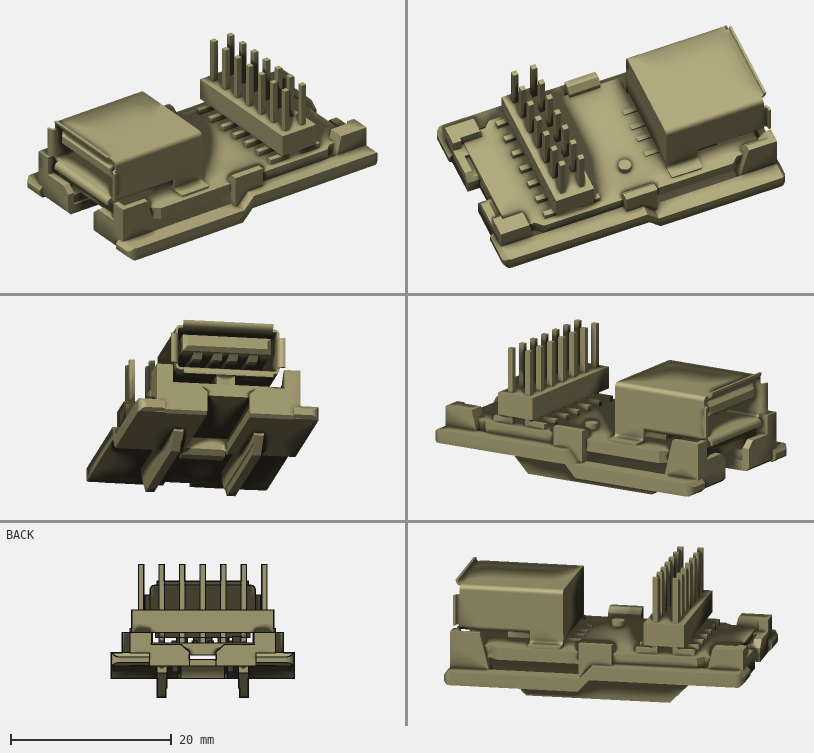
import cadquery as cq

LENGTH = 38.1
WIDTH = 22.8
HEIGHT = 16.55
HALF_L = LENGTH / 2
HALF_W = WIDTH / 2

FRONT_BOTTOM = 2.32
REAR_BOTTOM = 3.9
STEP_REAR_Y = -0.45
STEP_FRONT_Y = -1.95
STEP_TOP_SHIFT = 0.23
RAIL_THICK = 1.68
FLOOR_THICK = 0.85
RAIL_INNER_X = 9.05
BODY_Y = 18.6
CORNER_R = 1.0
TAB_INNER_FRONT_X = 8.15
TAB_INNER_REAR_X = 6.63
TAB_ROOT_Y = 18.5
TAB_TOP_BEVEL = 0.55
TAB_BOTTOM_BEVEL = 0.42
EDGE_CHAMFER = 0.42

FRONT_NOTCH_X = 2.7
FRONT_NOTCH_END_Y = -1.35
FRONT_NOTCH_R = 0.5
REAR_NOTCH_X = 1.68
WALL_SLOPE_RUN = 1.0
WALL_SLOPE_DROP = 0.88
FRONT_WALL_TOP = 6.15
FRONT_WALL_BACK_Y = -17.68
REAR_WALL_TOP = 6.55
REAR_LEDGE_TOP = 6.02
REAR_LEDGE_X = 5.15
REAR_LEDGE_Y = 17.6
SLOT_LEDGE_TOP = 3.6
SLOT_PAD_LIP_Z = 2.97
SLOT_PAD_REAR_Y = 1.15
RIM_INNER_X = 3.05
RIM_WIDTH = 0.75

FRONT_POST_TOP = 8.57
FRONT_POST_INNER_X = 7.05
FRONT_POST_TOP_Y = 14.82
FRONT_POST_FOOT_Y = 13.45
POST_WALL_X = 8.3
POST_WALL_Y = 17.85
POST_LEAD_IN = 1.03
REAR_POST_TOP = 8.08
REAR_POST_INNER_X = 6.9
REAR_POST_LUG_X = 6.4
REAR_POST_LUG_Y = 17.5
REAR_POST_TOP_Y = 14.75
REAR_POST_FOOT_Y = 13.9
CLIP_HALF_LENGTH = 2.1
CLIP_OUTER_X = 10.02
CLIP_TOP_X = 9.1
CLIP_HOOK_X = 8.4
CLIP_BOTTOM = 3.95
CLIP_HOOK_Z = 7.4

BLADE_OUTER_X = 5.68
BLADE_THICK = 1.22
BLADE_STEP = 0.1
BLADE_STEP_Z = 1.15
BLADE_END_Y = 11.62
BLADE_REAR_FOOT_Y = 8.6
BLADE_FRONT_FOOT_Y = 9.6
BLADE_SLOPE_Z = 3.0

BOARD_BOTTOM = 5.25
BOARD_TOP = 6.8
BOARD_HALF_W = 8.9
BOARD_HALF_L = 16.95
BOARD_WIDE_Y = 13.6
BOARD_CORNER = 0.88
KNOB_X = -4.5
KNOB_R = 0.8
KNOB_HEIGHT = 0.8

PIN_COLUMNS = 7
PITCH = 2.55
PIN = 0.7
HEADER_Y = 8.5
HEADER_WIDTH = 17.68
HEADER_DEPTH = 5.1
HEADER_BOTTOM = 8.05
HEADER_TOP = 10.85
FOOT_REACH = 3.75

SHELL_HALF_W = 6.55
SHELL_BOTTOM = 8.2
SHELL_TOP = 13.95
SHELL_MID_Z = (SHELL_BOTTOM + SHELL_TOP) / 2
SHELL_HALF_H = (SHELL_TOP - SHELL_BOTTOM) / 2
SHELL_FRONT_Y = -17.85
SHELL_REAR_Y = -4.75
SHELL_R = 0.6
SHEET = 0.3
CAVITY_BACK_Y = -6.48
LIP_BEND_R = 0.4
TOP_LIP_RISE = 0.5
LOW_LIP_RISE = 0.6
SIDE_LIP_RISE = 0.65
LONG_LIP = 11.3
SIDE_LIP = 3.8
SIDE_LIP_SHIFT = 0.23
SKIRT_FRONT_Y = -8.95
FLANGE_X = 8.23
FLANGE_THICK = 0.25
BASE_BOTTOM = 7.43
BASE_HALF_W = 5.9
BASE_FRONT_Y = -11.85
FLANGE_BEND_R = 0.4
SUPPORT_HALF_W = 1.15
SUPPORT_FRONT_Y = -16.75
PEG_R = 0.7
PEG_Y = -11.15
TONGUE_HALF_W = 5.55
TONGUE_BOTTOM = 10.82
TONGUE_TOP = 12.88
TONGUE_FRONT_Y = SHELL_FRONT_Y
TONGUE_CHAMFER = 0.55
CONTACT_XS = (-3.5, -1.0, 1.0, 3.5)
CONTACT_WIDTH = 1.1
CONTACT_THICK = 0.7
TAIL_WIDTH = 0.65
TAIL_THICK = 0.23
TAIL_END_Y = -3.1


def box(x0, x1, y0, y1, z0, z1):
    return cq.Workplane("XY").box(x1 - x0, y1 - y0, z1 - z0, centered=False).translate((x0, y0, z0))


def prism_x(points, x0, x1):
    """Extrude a (y, z) outline along X."""
    return cq.Workplane("YZ").polyline(points).close().extrude(x1 - x0).translate((x0, 0, 0))


def prism_y(points, y0, y1):
    """Extrude an (x, z) outline along Y."""
    return cq.Workplane("XZ").polyline(points).close().extrude(y0 - y1).translate((0, y0, 0))


def both_sides(shape):
    return shape.union(shape.mirror("YZ"))


def stepped_plate(thick, half_length, x0, x1):
    outline = [
        (-half_length, FRONT_BOTTOM),
        (STEP_FRONT_Y, FRONT_BOTTOM),
        (STEP_REAR_Y, REAR_BOTTOM),
        (half_length, REAR_BOTTOM),
        (half_length, REAR_BOTTOM + thick),
        (STEP_REAR_Y + STEP_TOP_SHIFT, REAR_BOTTOM + thick),
        (STEP_FRONT_Y + STEP_TOP_SHIFT, FRONT_BOTTOM + thick),
        (-half_length, FRONT_BOTTOM + thick),
    ]
    return prism_x(outline, x0, x1)


def end_tab(end, bottom, inner_x):
    """Bevelled tab at a rail end; end is -1 at the front and +1 at the rear."""
    top = bottom + RAIL_THICK
    root = end * TAB_ROOT_Y
    tip = end * HALF_L
    outline = [
        (root, bottom),
        (tip, bottom + TAB_BOTTOM_BEVEL),
        (tip, top - TAB_TOP_BEVEL),
        (root, top),
    ]
    return prism_x(outline, -HALF_W, -inner_x)


def front_post():
    outline = [
        (-BODY_Y, FRONT_BOTTOM),
        (-BODY_Y, FRONT_POST_TOP),
        (-FRONT_POST_TOP_Y, FRONT_POST_TOP),
        (-FRONT_POST_FOOT_Y, FRONT_BOTTOM + FLOOR_THICK),
        (-FRONT_POST_FOOT_Y, FRONT_BOTTOM),
    ]
    post = prism_x(outline, -RAIL_INNER_X, -FRONT_POST_INNER_X)
    well_x = -POST_WALL_X + POST_LEAD_IN
    well_y = -POST_WALL_Y + POST_LEAD_IN
    lead_in_z = FRONT_POST_TOP - POST_LEAD_IN
    post = post.cut(box(well_x, 0, well_y, 0, BOARD_TOP, FRONT_POST_TOP))
    lead_in = (
        cq.Workplane("XY").workplane(offset=lead_in_z)
        .rect(-2 * well_x, -2 * well_y)
        .workplane(offset=POST_LEAD_IN)
        .rect(2 * POST_WALL_X, 2 * POST_WALL_Y)
        .loft(ruled=True)
    )
    return post.cut(lead_in)


def rear_post():
    outline = [
        (BODY_Y, REAR_BOTTOM),
        (BODY_Y, REAR_POST_TOP),
        (REAR_POST_TOP_Y, REAR_POST_TOP),
        (REAR_POST_FOOT_Y, REAR_BOTTOM + FLOOR_THICK),
        (REAR_POST_FOOT_Y, REAR_BOTTOM),
    ]
    post = prism_x(outline, -RAIL_INNER_X, -REAR_POST_INNER_X)
    lug = box(-RAIL_INNER_X, -REAR_POST_LUG_X, REAR_POST_LUG_Y, BODY_Y, REAR_BOTTOM, REAR_POST_TOP)
    return post.union(lug)


def end_wall(y0, y1, bottom, top, notch_x):
    """Low wall from a rail to the end slot, sloping down beside the slot."""
    outline = [
        (-RAIL_INNER_X, bottom),
        (-notch_x, bottom),
        (-notch_x, top - WALL_SLOPE_DROP),
        (-notch_x - WALL_SLOPE_RUN, top),
        (-RAIL_INNER_X, top),
    ]
    return prism_y(outline, y0, y1)


def side_clip():
    outline = [
        (-CLIP_OUTER_X, CLIP_BOTTOM),
        (-CLIP_OUTER_X, REAR_POST_TOP),
        (-CLIP_TOP_X, REAR_POST_TOP),
        (-CLIP_HOOK_X, CLIP_HOOK_Z),
        (-CLIP_HOOK_X, BOARD_TOP),
        (-BOARD_HALF_W, BOARD_TOP),
        (-BOARD_HALF_W, CLIP_BOTTOM),
    ]
    return prism_y(outline, -CLIP_HALF_LENGTH, CLIP_HALF_LENGTH)


def slot_pad():
    """Pad under the floor step that closes the front slot, bevelled underneath."""
    bevel = SLOT_PAD_LIP_Z - FRONT_BOTTOM
    outline = [
        (FRONT_NOTCH_END_Y, SLOT_PAD_LIP_Z),
        (FRONT_NOTCH_END_Y + bevel, FRONT_BOTTOM),
        (SLOT_PAD_REAR_Y, FRONT_BOTTOM),
        (SLOT_PAD_REAR_Y, REAR_BOTTOM),
        (STEP_REAR_Y, REAR_BOTTOM),
    ]
    return prism_x(outline, -FRONT_NOTCH_X, 0)


def slot_rim():
    """Ledge and upright rim along the front slot, level with the rear floor."""
    ledge = box(
        -RIM_INNER_X, -FRONT_NOTCH_X, FRONT_WALL_BACK_Y, FRONT_NOTCH_END_Y, FRONT_BOTTOM, SLOT_LEDGE_TOP,
    )
    rim = box(
        -RIM_INNER_X - RIM_WIDTH, -RIM_INNER_X, FRONT_WALL_BACK_Y, STEP_REAR_Y,
        FRONT_BOTTOM + FLOOR_THICK, REAR_BOTTOM + FLOOR_THICK,
    )
    return ledge.union(rim)


def blade():
    outline = [
        (BLADE_END_Y, REAR_BOTTOM),
        (BLADE_END_Y, BLADE_SLOPE_Z),
        (BLADE_REAR_FOOT_Y, 0),
        (-BLADE_FRONT_FOOT_Y, 0),
        (-BLADE_END_Y, BLADE_END_Y - BLADE_FRONT_FOOT_Y),
        (-BLADE_END_Y, FRONT_BOTTOM),
        (STEP_FRONT_Y, FRONT_BOTTOM),
        (STEP_REAR_Y, REAR_BOTTOM),
    ]
    inner_x = -BLADE_OUTER_X + BLADE_THICK
    relief = box(inner_x - BLADE_STEP, inner_x, -BLADE_END_Y, BLADE_END_Y, 0, BLADE_STEP_Z)
    return prism_x(outline, -BLADE_OUTER_X, inner_x).cut(relief)


def frame():
    half = stepped_plate(RAIL_THICK, TAB_ROOT_Y, -HALF_W, -RAIL_INNER_X)
    half = half.union(stepped_plate(FLOOR_THICK, BODY_Y, -RAIL_INNER_X, 0))
    half = half.union(end_tab(-1, FRONT_BOTTOM, TAB_INNER_FRONT_X))
    half = half.union(end_tab(1, REAR_BOTTOM, TAB_INNER_REAR_X))
    half = half.union(front_post()).union(rear_post())
    half = half.union(end_wall(-BODY_Y, FRONT_WALL_BACK_Y, FRONT_BOTTOM, FRONT_WALL_TOP, FRONT_NOTCH_X))
    half = half.union(end_wall(BOARD_HALF_L, BODY_Y, REAR_BOTTOM, REAR_WALL_TOP, REAR_NOTCH_X))
    half = half.cut(box(-REAR_LEDGE_X, 0, BOARD_HALF_L, REAR_LEDGE_Y, REAR_LEDGE_TOP, REAR_POST_TOP))
    half = half.union(slot_pad()).union(slot_rim())
    front_bevel = [
        (-BODY_Y, FRONT_BOTTOM),
        (-BODY_Y, FRONT_BOTTOM + EDGE_CHAMFER),
        (-BODY_Y + EDGE_CHAMFER, FRONT_BOTTOM),
    ]
    half = half.cut(prism_x(front_bevel, -TAB_INNER_FRONT_X, 0))
    body = both_sides(half.union(side_clip()))

    front_slot = box(-FRONT_NOTCH_X, FRONT_NOTCH_X, -HALF_L, FRONT_NOTCH_END_Y, 0, BOARD_BOTTOM)
    front_slot = front_slot.edges("|Z and >Y").fillet(FRONT_NOTCH_R)
    rear_slot = box(-REAR_NOTCH_X, REAR_NOTCH_X, BOARD_HALF_L, HALF_L, 0, BOARD_TOP)
    body = body.cut(front_slot).cut(rear_slot)

    rounded_plan = box(-HALF_W, HALF_W, -HALF_L, HALF_L, 0, HEIGHT).edges("|Z").fillet(CORNER_R)
    return body.intersect(rounded_plan).union(both_sides(blade()))


def board():
    plate = box(
        -BOARD_HALF_W, BOARD_HALF_W, -BOARD_WIDE_Y, BOARD_WIDE_Y, BOARD_BOTTOM, BOARD_TOP
    ).edges("|Z").chamfer(BOARD_CORNER)
    neck_x = BOARD_HALF_W - BOARD_CORNER
    neck = box(-neck_x, neck_x, -BOARD_HALF_L, BOARD_HALF_L, BOARD_BOTTOM, BOARD_TOP)
    knob = cq.Workplane("XY").circle(KNOB_R).extrude(KNOB_HEIGHT).translate((KNOB_X, 0, BOARD_TOP))
    return plate.union(neck).union(knob)


def header():
    block = box(
        -HEADER_WIDTH / 2, HEADER_WIDTH / 2,
        HEADER_Y - HEADER_DEPTH / 2, HEADER_Y + HEADER_DEPTH / 2,
        HEADER_BOTTOM, HEADER_TOP,
    )
    for column in range(PIN_COLUMNS):
        x = (column - (PIN_COLUMNS - 1) / 2) * PITCH
        for side in (-1, 1):
            y = HEADER_Y + side * PITCH / 2
            block = block.union(box(x - PIN / 2, x + PIN / 2, y - PIN / 2, y + PIN / 2, BOARD_TOP, HEIGHT))
            ys = sorted((y, HEADER_Y + side * FOOT_REACH))
            block = block.union(box(x - PIN / 2, x + PIN / 2, *ys, BOARD_TOP, BOARD_TOP + PIN))
    return block


def flared_lip(angle, half_size, rise, length, shift=0.0):
    """Sheet lip bent outwards round the mouth; angle 0 is the top edge, turning about Y."""
    centre_d = half_size + LIP_BEND_R
    outer_r = LIP_BEND_R + SHEET
    diagonal = 0.5 ** 0.5
    tip_d = half_size + rise
    lip = (
        cq.Workplane("YZ")
        .moveTo(SHELL_FRONT_Y, half_size)
        .threePointArc(
            (SHELL_FRONT_Y - LIP_BEND_R * diagonal, centre_d - LIP_BEND_R * diagonal),
            (SHELL_FRONT_Y - LIP_BEND_R, centre_d),
        )
        .lineTo(SHELL_FRONT_Y - LIP_BEND_R, tip_d)
        .lineTo(SHELL_FRONT_Y - outer_r, tip_d)
        .lineTo(SHELL_FRONT_Y - outer_r, centre_d)
        .threePointArc(
            (SHELL_FRONT_Y - outer_r * diagonal, centre_d - outer_r * diagonal),
            (SHELL_FRONT_Y, half_size - SHEET),
        )
        .close()
        .extrude(length / 2, both=True)
    )
    return lip.rotate((0, 0, 0), (0, 1, 0), angle).translate((0, 0, SHELL_MID_Z - shift))


def tongue():
    body = box(
        -TONGUE_HALF_W, TONGUE_HALF_W, TONGUE_FRONT_Y, CAVITY_BACK_Y, TONGUE_BOTTOM, TONGUE_TOP
    ).faces("<Y").edges().chamfer(TONGUE_CHAMFER)
    contact_tip_y = TONGUE_FRONT_Y + 2 * TONGUE_CHAMFER
    contact_outline = [
        (contact_tip_y, TONGUE_BOTTOM),
        (contact_tip_y + CONTACT_THICK, TONGUE_BOTTOM - CONTACT_THICK),
        (CAVITY_BACK_Y, TONGUE_BOTTOM - CONTACT_THICK),
        (CAVITY_BACK_Y, TONGUE_BOTTOM),
    ]
    for x in CONTACT_XS:
        body = body.union(prism_x(contact_outline, x - CONTACT_WIDTH / 2, x + CONTACT_WIDTH / 2))
    return body


def socket():
    shell = box(
        -SHELL_HALF_W, SHELL_HALF_W, SHELL_FRONT_Y, SHELL_REAR_Y, SHELL_BOTTOM, SHELL_TOP
    ).edges("|Y").fillet(SHELL_R)
    cavity = box(
        -SHELL_HALF_W + SHEET, SHELL_HALF_W - SHEET,
        SHELL_FRONT_Y, CAVITY_BACK_Y,
        SHELL_BOTTOM + SHEET, SHELL_TOP - SHEET,
    ).edges("|Y").fillet(SHELL_R - SHEET)
    shell = shell.cut(cavity).union(tongue())

    shell = shell.union(flared_lip(0, SHELL_HALF_H, TOP_LIP_RISE, LONG_LIP))
    shell = shell.union(flared_lip(180, SHELL_HALF_H, LOW_LIP_RISE, LONG_LIP))
    for angle in (90, 270):
        shell = shell.union(flared_lip(angle, SHELL_HALF_W, SIDE_LIP_RISE, SIDE_LIP, SIDE_LIP_SHIFT))

    shell = shell.union(box(
        -BASE_HALF_W, BASE_HALF_W, BASE_FRONT_Y, SHELL_REAR_Y, BASE_BOTTOM, SHELL_BOTTOM + SHEET
    ))
    shell = shell.union(box(
        -SUPPORT_HALF_W, SUPPORT_HALF_W, SUPPORT_FRONT_Y, BASE_FRONT_Y, BOARD_TOP, SHELL_BOTTOM + SHEET
    ))
    pegs = (
        cq.Workplane("XY").pushPoints([(-PITCH, PEG_Y), (PITCH, PEG_Y)])
        .circle(PEG_R).extrude(BASE_BOTTOM - BOARD_TOP).translate((0, 0, BOARD_TOP))
    )
    shell = shell.union(pegs)

    skirt = box(
        -SHELL_HALF_W, -SHELL_HALF_W + SHEET, SKIRT_FRONT_Y, SHELL_REAR_Y, BOARD_TOP, SHELL_MID_Z
    )
    flange = box(
        -FLANGE_X, -SHELL_HALF_W + SHEET, SKIRT_FRONT_Y, SHELL_REAR_Y, BOARD_TOP, BOARD_TOP + FLANGE_THICK
    ).edges("|Z and <X").fillet(SHEET)
    bend = cq.selectors.NearestToPointSelector(
        (-SHELL_HALF_W, (SKIRT_FRONT_Y + SHELL_REAR_Y) / 2, BOARD_TOP + FLANGE_THICK)
    )
    skirt = skirt.union(flange).edges(bend).fillet(FLANGE_BEND_R)
    shell = shell.union(both_sides(skirt))

    for x in CONTACT_XS:
        shell = shell.union(box(
            x - TAIL_WIDTH / 2, x + TAIL_WIDTH / 2,
            SHELL_REAR_Y - SHEET, TAIL_END_Y,
            BOARD_TOP, BOARD_TOP + TAIL_THICK,
        ))
    return shell


result = frame().union(board()).union(header()).union(socket())